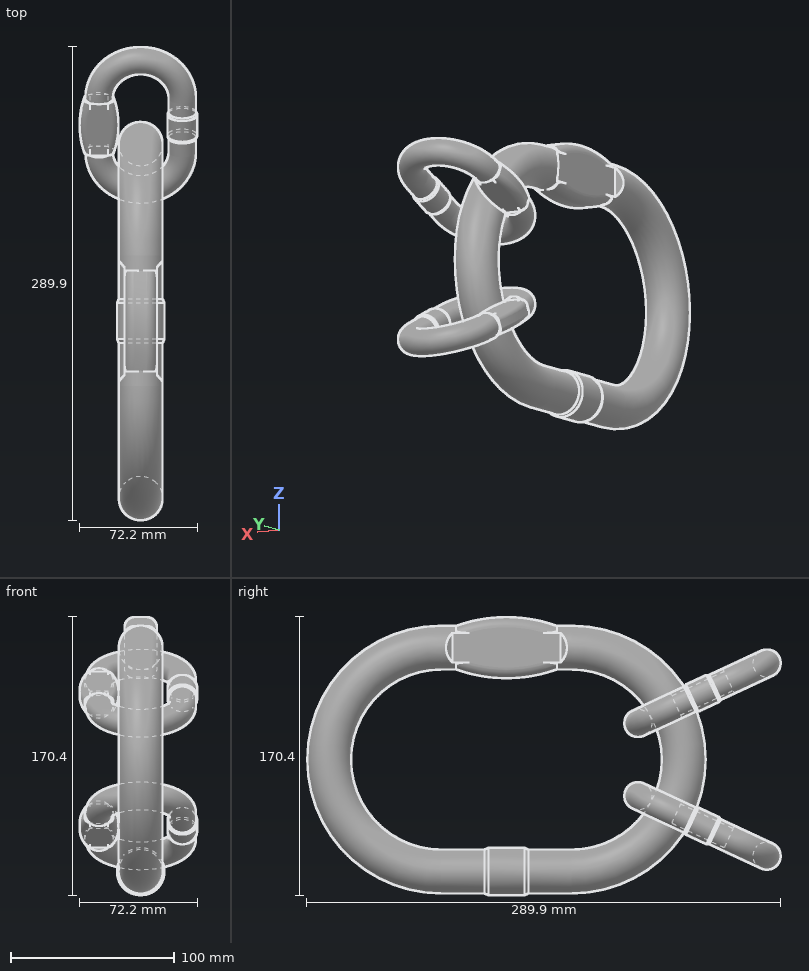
import cadquery as cq
import math

MASTER_WIRE = 27.0
MASTER_INNER_WIDTH = 110.0
MASTER_STRAIGHT = 80.0

SUB_WIRE = 17.0
SUB_INNER_WIDTH = 34.0
SUB_STRAIGHT = 36.0
SUB_TILT = 25.0
SUB_CENTRE_Y = 119.96
SUB_CENTRE_Z = 40.6


def wire_loop(wire, bend_radius, straight):
    """Round bar bent to an oval in the YZ plane, long axis along Y."""
    half = straight / 2
    path = (
        cq.Workplane("YZ")
        .moveTo(-half, bend_radius)
        .lineTo(half, bend_radius)
        .threePointArc((half + bend_radius, 0), (half, -bend_radius))
        .lineTo(-half, -bend_radius)
        .threePointArc((-half - bend_radius, 0), (-half, bend_radius))
        .close()
    )
    section = cq.Workplane("XZ", origin=(0, -half, bend_radius)).circle(wire / 2)
    return section.sweep(path)


def weld_collar(wire, rise, length, slope, bend_radius):
    """Sleeve standing proud of the lower straight bar, its ends sloping down to the bar surface."""
    return (
        cq.Workplane("XZ", origin=(0, -length / 2, -bend_radius))
        .circle(wire / 2 + rise)
        .extrude(-length)
        .faces("<Y or >Y")
        .chamfer(slope, rise)
    )


def bulge(half_height, thickness, length, arc_radius, fillet, bend_radius):
    """Swollen middle of the upper straight bar: arched above and below, corners rounded along Y."""
    half = length / 2
    drop = arc_radius - math.sqrt(arc_radius**2 - half**2)
    end_height = half_height - drop
    return (
        cq.Workplane("YZ", origin=(0, 0, bend_radius))
        .moveTo(-half, end_height)
        .threePointArc((0, half_height), (half, end_height))
        .lineTo(half, -end_height)
        .threePointArc((0, -half_height), (-half, -end_height))
        .close()
        .extrude(thickness / 2, both=True)
        .edges("%CIRCLE")
        .fillet(fillet)
    )


def flat_cutter(side, wire, thickness, length, ramp, bend_radius):
    """Material outside one flat of the bulge, with ends that ramp out to the bar surface."""
    inner = thickness / 2
    outer = wire / 2
    half = length / 2
    return (
        cq.Workplane("XY", origin=(0, 0, bend_radius - wire))
        .moveTo(side * inner, -half)
        .lineTo(side * inner, half)
        .lineTo(side * outer, half + ramp)
        .lineTo(side * outer, -half - ramp)
        .close()
        .extrude(2 * wire)
    )


def link(
    wire, inner_width, straight,
    collar_rise, collar_length, collar_slope,
    bulge_rise, bulge_length, bulge_radius, bulge_fillet,
    flat_thickness, flat_length, flat_ramp,
):
    """One link in the YZ plane: collar on its -Z bar, flattened bulge on its +Z bar.

    Rises are measured outward from the bar surface.
    """
    bend_radius = (inner_width + wire) / 2
    body = wire_loop(wire, bend_radius, straight)
    for side in (-1, 1):
        body = body.cut(flat_cutter(side, wire, flat_thickness, flat_length, flat_ramp, bend_radius))
    body = body.union(
        bulge(wire / 2 + bulge_rise, flat_thickness, bulge_length, bulge_radius, bulge_fillet, bend_radius)
    )
    return body.union(weld_collar(wire, collar_rise, collar_length, collar_slope, bend_radius))


master_link = link(
    MASTER_WIRE, MASTER_INNER_WIDTH, MASTER_STRAIGHT,
    collar_rise=1.08,
    collar_length=MASTER_WIRE,
    collar_slope=2.5,
    bulge_rise=5.33,
    bulge_length=62.0,
    bulge_radius=90.0,
    bulge_fillet=6.5,
    flat_thickness=20.0,
    flat_length=66.0,
    flat_ramp=4.0,
)


def sub_link(side):
    """Sub-link with its bulge towards -X, tilted up (side = 1) or down (side = -1) towards +Y."""
    body = link(
        SUB_WIRE, SUB_INNER_WIDTH, SUB_STRAIGHT,
        collar_rise=0.7,
        collar_length=SUB_WIRE,
        collar_slope=1.5,
        bulge_rise=3.45,
        bulge_length=35.5,
        bulge_radius=55.0,
        bulge_fillet=4.5,
        flat_thickness=13.0,
        flat_length=35.0,
        flat_ramp=0.5,
    )
    return (
        body.rotate((0, 0, 0), (0, 1, 0), -90)
        .rotate((0, 0, 0), (1, 0, 0), side * SUB_TILT)
        .translate((0, SUB_CENTRE_Y, side * SUB_CENTRE_Z))
    )


sub_links = [sub_link(side) for side in (1, -1)]

result = cq.Compound.makeCompound([body.solids().val() for body in (master_link, *sub_links)])